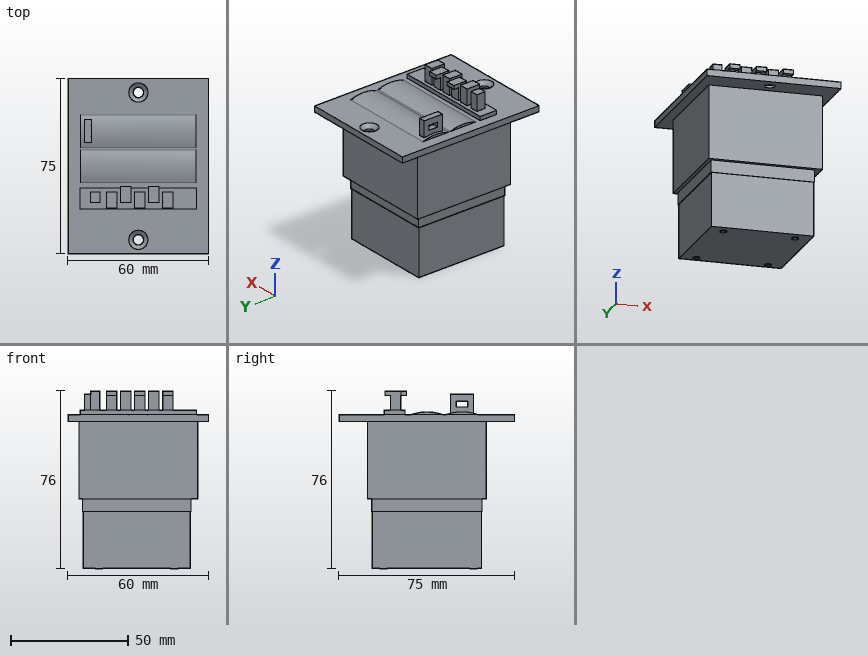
import cadquery as cq

total_height = 76.0
foot_height = 0.3
base_top = 24.55
collar_top = 30.0
plate_top = 66.0

plate_x = 60.0
plate_y = 75.0
plate_thickness = 3.0
plate_bottom = plate_top - plate_thickness

screw_y = 31.5
screw_diameter = 4.3
countersink_diameter = 8.2
countersink_angle = 90

housing_side = 50.9
lower_center_x = -0.7
collar_x = 46.35
collar_y = 47.3
base_x = 45.8
base_y = 46.8

foot_diameter = 3.05
foot_xs = (-16.8, 15.35)
foot_ys = (-18.55, 19.9)

window_length = 49.25
window_width = 14.0
window_rise = 1.2
window_pitch = 15.0

lug_top = 74.8
lug_left = -23.1
lug_thickness = 3.05
lug_y = 15.05
lug_width = 9.95
lug_hole_z = 70.5
lug_hole_width = 4.8
lug_hole_height = 2.35

strip_length = 49.7
strip_y = -13.75
strip_width = 9.05
strip_top = 67.95
lever_y = -13.3
lever_depth = 4.5
lever_width = 4.55
lever_pitch = 6.0
lever_middle_x = 0.6
lever_count = 5
cap_thickness = 1.9
cap_overhang = 2.4
plain_post_x = -18.4
plain_post_width = 3.95


def block(size_x, size_y, bottom, top, center_x=0.0, center_y=0.0):
    """Upright box between two heights."""
    return (
        cq.Workplane("XY", origin=(center_x, center_y, bottom))
        .rect(size_x, size_y)
        .extrude(top - bottom)
    )


def mounting_plate():
    return (
        block(plate_x, plate_y, plate_bottom, plate_top)
        .faces(">Z")
        .workplane()
        .pushPoints([(0, -screw_y), (0, screw_y)])
        .cskHole(screw_diameter, countersink_diameter, countersink_angle)
    )


def feet():
    return (
        cq.Workplane("XY")
        .pushPoints([(x, y) for x in foot_xs for y in foot_ys])
        .circle(foot_diameter / 2)
        .extrude(foot_height)
    )


def arched_window(center_y):
    """Circular-segment ridge resting on the plate."""
    return (
        cq.Workplane("YZ", origin=(0, center_y, plate_top))
        .moveTo(-window_width / 2, 0)
        .threePointArc((0, window_rise), (window_width / 2, 0))
        .close()
        .extrude(window_length / 2, both=True)
    )


def lug():
    center_x = lug_left + lug_thickness / 2
    hole = block(
        lug_thickness,
        lug_hole_width,
        lug_hole_z - lug_hole_height / 2,
        lug_hole_z + lug_hole_height / 2,
        center_x,
        lug_y,
    )
    return block(lug_thickness, lug_width, plate_top, lug_top, center_x, lug_y).cut(hole)


def lever(center_x, side):
    """Post with a cap overhanging toward -Y (side = -1) or +Y (side = 1)."""
    post = block(lever_width, lever_depth, strip_top, total_height, center_x, lever_y)
    cap = block(
        lever_width,
        lever_depth + cap_overhang,
        total_height - cap_thickness,
        total_height,
        center_x,
        lever_y + side * cap_overhang / 2,
    )
    return post.union(cap)


result = mounting_plate()
result = result.union(block(housing_side, housing_side, collar_top, plate_bottom))
result = result.union(block(collar_x, collar_y, base_top, collar_top, lower_center_x))
result = result.union(block(base_x, base_y, foot_height, base_top, lower_center_x))
result = result.union(feet())

for window_y in (0.0, window_pitch):
    result = result.union(arched_window(window_y))
result = result.union(lug())

result = result.union(block(strip_length, strip_width, plate_top, strip_top, center_y=strip_y))
result = result.union(
    block(plain_post_width, lever_depth, strip_top, total_height, plain_post_x, lever_y)
)
for index in range(lever_count):
    lever_x = lever_middle_x + (index - (lever_count - 1) / 2) * lever_pitch
    overhang_side = -1 if index % 2 == 0 else 1
    result = result.union(lever(lever_x, overhang_side))